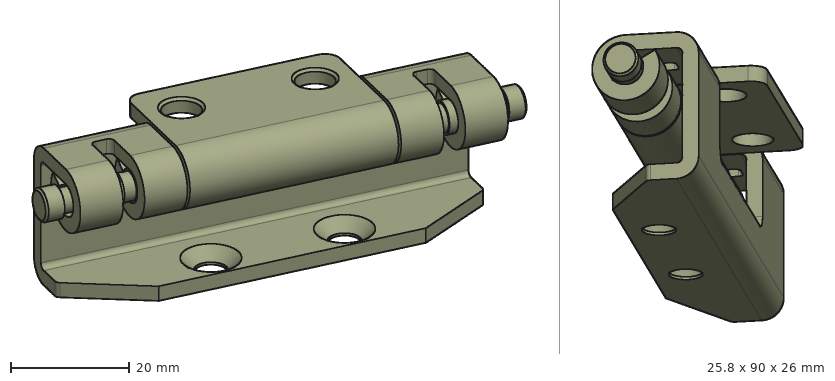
import cadquery as cq
import math


sheet = 2.8
bore_radius = 3.0
barrel_radius = bore_radius + sheet
curl_end_angle = 150.0

height = 26.0
housing_half_length = 40.0
back_x = -12.5
flange_tip_x = 5.0
bend_inner_radius = 1.0
bend_outer_radius = bend_inner_radius + sheet
bend_end_x = back_x + bend_outer_radius
axis_z = height - barrel_radius

notch_half_length = 20.0
notch_floor_z = 9.5
notch_corner_radius = 2.5

slot_inner_y = 28.0
slot_width = 4.0
slot_outer_y = slot_inner_y + slot_width
slot_left_x = -7.1
slot_corner_radius = 1.0

hole_pitch = 25.0
countersink_angle = 90.0

flange_tip_half_length = 25.0
taper_angle = 60.0
taper_corner_radius = 1.0
taper_length = housing_half_length - flange_tip_half_length
taper_start_x = flange_tip_x - taper_length / math.tan(math.radians(taper_angle))
flange_hole_x = -0.7
flange_hole_diameter = 5.8
countersink_diameter = 10.4

leaf_half_length = 19.5
leaf_edge_x = -20.0
leaf_corner_radius = 2.8
leaf_hole_x = -12.2
leaf_hole_diameter = 7.0
leaf_hole_rim_diameter = 8.0

cut_margin = 1.0

pin_radius = bore_radius
pin_inner_y = 10.0
groove_start_y = slot_inner_y
groove_end_y = 30.4
groove_radius = 2.6
neck_start_y = slot_outer_y
neck_radius = 2.25
head_start_y = 41.6
pin_end_y = 45.0
head_chamfer = 0.4


def extrude_along_y(profile, half_length):
    """Extrude an XZ profile equally to both sides of the XZ plane."""
    return profile.extrude(half_length, both=True)


def on_barrel(radius, angle):
    """XZ point at a radius and an angle around the pin axis."""
    turn = math.radians(angle)
    return radius * math.cos(turn), axis_z + radius * math.sin(turn)


def curl_profile(edge_x):
    """Sheet running flat from edge_x to the pin axis, then rolled clockwise round it."""
    mid_angle = (90 + curl_end_angle - 360) / 2
    return (
        cq.Workplane("XZ")
        .moveTo(edge_x, height)
        .lineTo(0, height)
        .threePointArc(on_barrel(barrel_radius, mid_angle), on_barrel(barrel_radius, curl_end_angle))
        .lineTo(*on_barrel(bore_radius, curl_end_angle))
        .threePointArc(on_barrel(bore_radius, mid_angle), (0, height - sheet))
        .lineTo(edge_x, height - sheet)
        .close()
    )


def box_between(x_range, y_range, z_range):
    """Box spanning the given ranges."""
    sizes = [high - low for low, high in (x_range, y_range, z_range)]
    corner = (x_range[0], y_range[0], z_range[0])
    return cq.Workplane("XY").box(*sizes, centered=False).translate(corner)


def make_wall():
    """Back wall with the bends towards the top sheet and the lower flange."""
    inner_x = back_x + sheet
    profile = (
        cq.Workplane("XZ")
        .moveTo(bend_end_x, 0)
        .radiusArc((back_x, bend_outer_radius), bend_outer_radius)
        .lineTo(back_x, height - bend_outer_radius)
        .radiusArc((bend_end_x, height), bend_outer_radius)
        .lineTo(bend_end_x, height - sheet)
        .radiusArc((inner_x, height - bend_outer_radius), -bend_inner_radius)
        .lineTo(inner_x, bend_outer_radius)
        .radiusArc((bend_end_x, sheet), -bend_inner_radius)
        .close()
    )
    return extrude_along_y(profile, housing_half_length)


def make_flange():
    """Lower flange, tapered at both ends, with two countersunk holes."""
    outline = [
        (bend_end_x, -housing_half_length),
        (taper_start_x, -housing_half_length),
        (flange_tip_x, -flange_tip_half_length),
        (flange_tip_x, flange_tip_half_length),
        (taper_start_x, housing_half_length),
        (bend_end_x, housing_half_length),
    ]
    plate = cq.Workplane("XY").polyline(outline).close().extrude(sheet)
    for y_side in ("<Y", ">Y"):
        plate = plate.faces(y_side).edges("|Z and >X").fillet(taper_corner_radius)
    return (
        plate.copyWorkplane(cq.Workplane("XY", origin=(flange_hole_x, 0, sheet)))
        .rarray(1, hole_pitch, 1, 2)
        .cskHole(flange_hole_diameter, countersink_diameter, countersink_angle, depth=sheet)
    )


def make_notch():
    """Cutter for the opening that holds the leaf, rounded at its floor."""
    notch = box_between(
        (back_x - cut_margin, barrel_radius + cut_margin),
        (-notch_half_length, notch_half_length),
        (notch_floor_z, height + cut_margin),
    )
    return notch.edges("|X and <Z").fillet(notch_corner_radius)


def make_slot():
    """Cutter for the slot across the +Y barrel, rounded at its closed end."""
    slot = box_between(
        (slot_left_x, barrel_radius + cut_margin),
        (slot_inner_y, slot_outer_y),
        (axis_z - barrel_radius - cut_margin, height + cut_margin),
    )
    return slot.edges("|Z and <X").fillet(slot_corner_radius)


def make_housing():
    """Bent sheet with a lower flange, whose two upper ends are rolled into slotted barrels."""
    barrel = extrude_along_y(curl_profile(bend_end_x), housing_half_length)
    shell = make_wall().union(make_flange()).union(barrel)
    slot = make_slot()
    return shell.cut(make_notch()).cut(slot).cut(slot.mirror("XZ"))


def make_leaf():
    """Flat leaf with two mounting holes, rolled round the inner ends of the pins."""
    leaf = extrude_along_y(curl_profile(leaf_edge_x), leaf_half_length)
    leaf = leaf.edges("|Z and <X").fillet(leaf_corner_radius)
    return (
        leaf.copyWorkplane(cq.Workplane("XY", origin=(leaf_hole_x, 0, height)))
        .rarray(1, hole_pitch, 1, 2)
        .cskHole(leaf_hole_diameter, leaf_hole_rim_diameter, countersink_angle, depth=sheet)
    )


def make_pin():
    """Stepped pin on the +Y side with a groove, a neck and a chamfered head."""
    pin = (
        cq.Workplane("XY")
        .moveTo(0, pin_inner_y)
        .lineTo(pin_radius, pin_inner_y)
        .lineTo(pin_radius, groove_start_y)
        .lineTo(groove_radius, groove_start_y)
        .lineTo(groove_radius, groove_end_y)
        .lineTo(pin_radius, groove_end_y)
        .lineTo(pin_radius, neck_start_y)
        .lineTo(neck_radius, neck_start_y)
        .lineTo(neck_radius, head_start_y)
        .lineTo(pin_radius, head_start_y)
        .lineTo(pin_radius, pin_end_y - head_chamfer)
        .lineTo(pin_radius - head_chamfer, pin_end_y)
        .lineTo(0, pin_end_y)
        .close()
        .revolve(360, (0, 0, 0), (0, 1, 0))
    )
    return pin.translate((0, 0, axis_z))


housing = make_housing()
leaf = make_leaf()
pins = []
for half_turn in (0, 180):
    pins.append(make_pin().rotate((0, 0, 0), (0, 0, 1), half_turn))

result = cq.Compound.makeCompound([housing.val(), leaf.val(), *[pin.val() for pin in pins]])